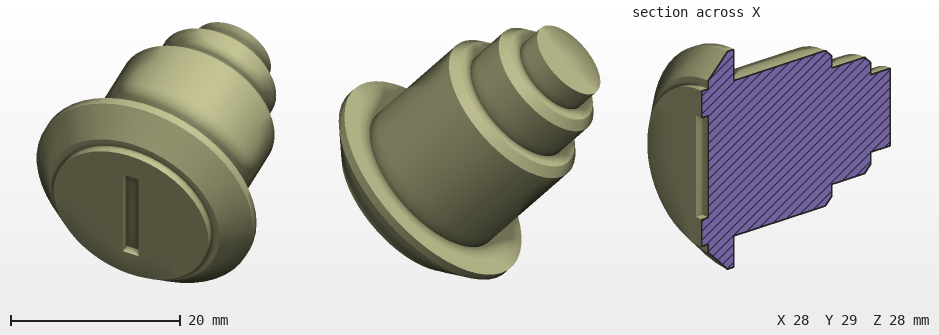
import cadquery as cq

total_length = 29.0
flange_diameter = 28.0
body_diameter = 20.0
neck_diameter = 15.0
tail_diameter = 10.0

face_height = 1.0
bevel = 3.0
rim_thickness = 1.02
body_length = 15.0
neck_length = 6.0
edge_chamfer = 1.0

slot_width = 2.0
slot_height = 13.0
slot_depth = 1.0

flange_back = face_height + bevel + rim_thickness
body_back = flange_back + body_length
neck_back = body_back + neck_length


def cylinder(diameter, start, end):
    """Solid cylinder on the Y axis between two positions."""
    plane = cq.Workplane("XZ", origin=(0, start, 0))
    return plane.circle(diameter / 2).extrude(start - end)


def make_flange():
    """Flange with its front edge bevelled."""
    flange = cylinder(flange_diameter, face_height, flange_back)
    return flange.faces("<Y").chamfer(bevel)


def make_step(diameter, start, end):
    """Cylindrical step with its rear edge chamfered."""
    return cylinder(diameter, start, end).faces(">Y").chamfer(edge_chamfer)


def make_key_slot():
    """Blind upright slot cut into the key face."""
    slot = cq.Workplane("XZ").rect(slot_width, slot_height)
    return slot.extrude(-slot_depth)


body = make_step(body_diameter, 0, body_back)
neck = make_step(neck_diameter, flange_back, neck_back)
tail = cylinder(tail_diameter, flange_back, total_length)

lock = body.union(make_flange()).union(neck).union(tail)
lock = lock.cut(make_key_slot())

result = lock.translate((0, -total_length / 2, 0))